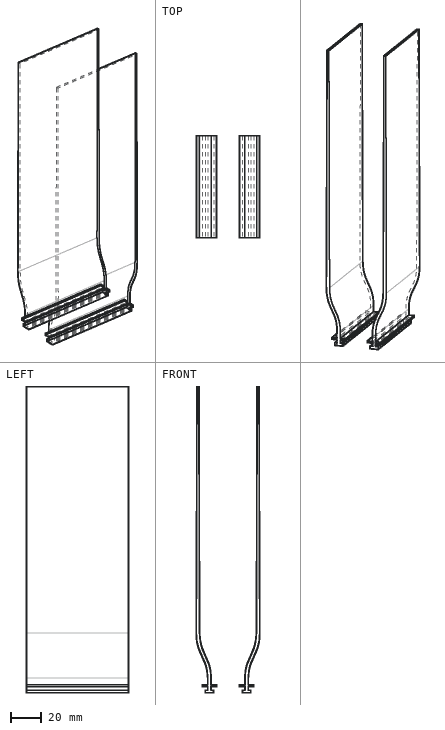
import cadquery as cq

HEIGHT = 203.8
WIDTH = 42.4
DEPTH = 68.0

HALF_WALL = 1.18
HALF_TIP_WALL = 0.71
BEND_BOTTOM = 10.0
BEND_TOP = 40.0
BEND_DROP = 0.6

STEM_X = 12.5
FOOT_WIDTH = 5.7
FOOT_HEIGHT = 1.8
FLANGE_WIDTH = 9.5
FLANGE_BOTTOM = 4.0
FLANGE_THICKNESS = 1.2

blade_x = WIDTH / 2 - HALF_WALL
stem_inner = STEM_X - HALF_WALL
stem_outer = STEM_X + HALF_WALL
blade_inner = blade_x - HALF_WALL
blade_outer = WIDTH / 2
tip_inner = blade_x - HALF_TIP_WALL
tip_outer = blade_x + HALF_TIP_WALL

bend_middle = (BEND_BOTTOM + BEND_TOP) / 2 - BEND_DROP


def s_bend(bottom_x, top_x):
    """Control points of one face of the bend, from bottom to top."""
    return [
        (bottom_x, BEND_BOTTOM),
        (bottom_x, bend_middle),
        (top_x, bend_middle),
        (top_x, BEND_TOP),
    ]


def wall():
    """Stem, S-bend and tapered blade in one closed profile."""
    return (
        cq.Workplane("XZ")
        .moveTo(stem_outer, 0)
        .lineTo(stem_outer, BEND_BOTTOM)
        .bezier(s_bend(stem_outer, blade_outer))
        .lineTo(tip_outer, HEIGHT)
        .lineTo(tip_inner, HEIGHT)
        .lineTo(blade_inner, BEND_TOP)
        .bezier(s_bend(stem_inner, blade_inner)[::-1])
        .lineTo(stem_inner, 0)
        .close()
        .extrude(DEPTH)
        .translate((0, DEPTH / 2, 0))
    )


def cross_bar(width, height, bottom):
    """Flat bar centred on the stem, over the full depth."""
    return cq.Workplane("XY").box(width, DEPTH, height, centered=(True, True, False)).translate(
        (STEM_X, 0, bottom)
    )


def blade():
    """Complete blade on the +X side."""
    foot = cross_bar(FOOT_WIDTH, FOOT_HEIGHT, 0)
    flange = cross_bar(FLANGE_WIDTH, FLANGE_THICKNESS, FLANGE_BOTTOM)
    return wall().union(foot).union(flange)


blades = []
for angle in (0, 180):
    blades.append(blade().rotate((0, 0, 0), (0, 0, 1), angle).val())

result = cq.Compound.makeCompound(blades)